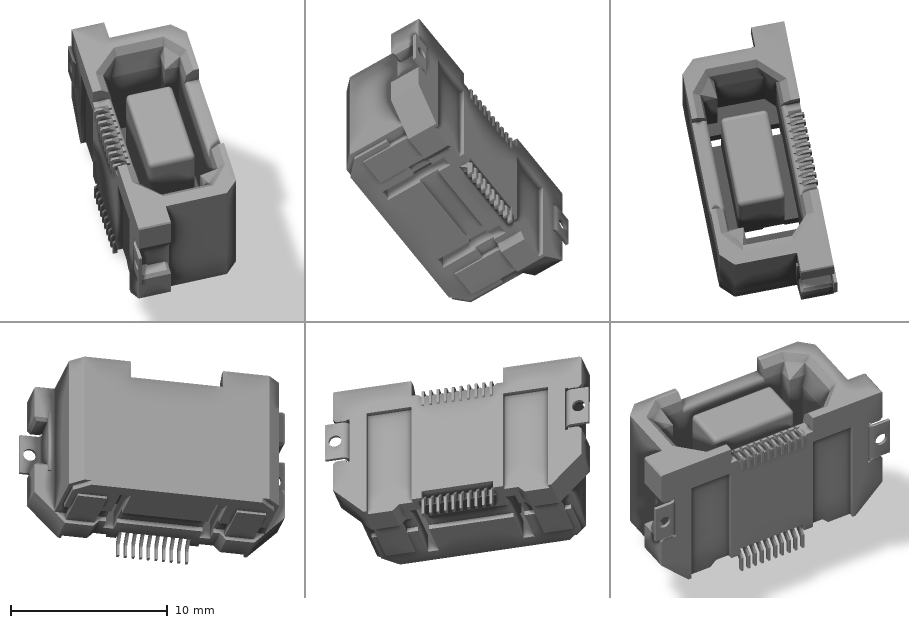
import cadquery as cq

body_half_width = 6.89
body_back = 7.03
body_height = 8.8
body_corner = 0.84
flange_half_width = 8.21
flange_thickness = 2.14
flange_height = 9.52
flange_corner = 2.02
flange_top_chamfer = 0.09
bottom_notch_depth = 0.42
bottom_notch_half_width = 3.95

relief_inner = 3.03
relief_outer = 5.99
relief_top = 1.98
relief_depth = 0.35

back_foot_half_width = 6.6
back_foot_corner = 1.0
back_foot_front = 3.57
back_foot_bottom = 9.12
side_foot_inner = 4.26
side_foot_outer = 6.18
side_foot_back = 5.62
side_foot_bottom = 9.27

rim_bevel_depth = 0.42
draft_depth = 2.05
floor_depth = 7.83
wall_notch_depth = 1.13
wall_notch_half_width = relief_inner
wall_notch_rounding = 0.28
cavity_front = 1.24
cavity_back = 6.05
key_inner_x = 4.32
key_front = 5.12
key_tip_depth = 1.13
key_rim_x = (4.6, 5.64)
key_rim_y = (6.2, 5.41)

tongue_half_width = 2.95
tongue_front = 2.12
tongue_back = 5.19
tongue_top = 0.89
tongue_rounding = 0.3
opening_inner = 2.8
opening_outer = 3.51

pin_count = 10
pin_row_span = 4.5
pin_pitch = pin_row_span / (pin_count - 1)
pin_width = 0.15
pin_standoff = 0.12
pin_edge_break = 0.07
pin_shoulder_break = 0.12
total_height = 10.4
upper_pin_top = 0.92
upper_pin_tip = 2.05
upper_pin_embed = 0.09
upper_pin_flat_end = 0.4
upper_pin_inner = 1.06
upper_pin_underside = 1.57
comb_depth = 0.87
comb_valley = 1.35
comb_peak = 1.25
comb_half_width = 2.6
tail_pocket_half_width = 2.37
tail_pocket_top = 8.6
tail_pocket_depth = 0.87
tail_thickness = 0.31
tail_bend_start = 9.35

gap_top = 2.33
gap_bottom = 5.35
gap_corner = 0.21
slot_top = 2.26
slot_bottom = 5.48
sheet = 0.21
plate_outer = 7.33
plate_inner = plate_outer - sheet
plate_step = 0.84
foot_outer = 8.7
foot_top = 2.5
foot_bottom = 5.19
bend_inner_radius = 0.25
bend_outer_radius = bend_inner_radius + sheet
foot_hole_x = 8.04
foot_hole_radius = 0.42
tab_top = 1.83
tab_bottom = 5.92
tab_overhang = 0.1


def block(x0, x1, y0, y1, depth0, depth1):
    """Box between two X, two Y and two depths below the rim."""
    return cq.Workplane("XY").box(
        x1 - x0, y1 - y0, depth1 - depth0, centered=False
    ).translate((x0, y0, -depth1))


def both_sides(shape):
    """The shape together with its mirror image across X = 0."""
    return shape.union(shape.mirror("YZ"))


def symmetric(half):
    """Closed outline from the points of its +X half."""
    return half + [(-x, y) for x, y in reversed(half)]


def front_prism(points, y0, y1):
    """Prism along Y from an X-Z outline."""
    return cq.Workplane("XZ", origin=(0, y0, 0)).polyline(points).close().extrude(y0 - y1)


def ring_loft(upper, depth0, lower, depth1):
    """Ruled solid between two horizontal outlines."""
    return (
        cq.Workplane("XY", origin=(0, 0, -depth0)).polyline(upper).close()
        .workplane(offset=depth0 - depth1).polyline(lower).close()
        .loft(ruled=True, combine=True)
    )


def plan_prism(points, depth0, depth1):
    """Vertical prism from an X-Y outline."""
    return cq.Workplane("XY", origin=(0, 0, -depth1)).polyline(points).close().extrude(depth1 - depth0)


def chamfered_back(half_width, front, corner):
    """Rectangle outline with its two back corners cut at 45 degrees."""
    return symmetric([
        (half_width, front),
        (half_width, body_back - corner),
        (half_width - corner, body_back),
    ])


def flared_gap(start, end):
    """Outline of the bracket gap, widening over its last stretch towards the end."""
    return [
        (start, -gap_top),
        (end - gap_corner, -gap_top),
        (end, gap_corner - gap_top),
        (end, -gap_bottom - gap_corner),
        (end - gap_corner, -gap_bottom),
        (start, -gap_bottom),
    ]


def make_flange():
    notch_top = -(flange_height - bottom_notch_depth)
    outline = symmetric([
        (flange_half_width - flange_top_chamfer, 0),
        (flange_half_width, -flange_top_chamfer),
        (flange_half_width, -(flange_height - flange_corner)),
        (flange_half_width - flange_corner, -flange_height),
        (bottom_notch_half_width + bottom_notch_depth, -flange_height),
        (bottom_notch_half_width, notch_top),
    ])
    flange = front_prism(outline, 0, flange_thickness)
    relief = block(relief_inner, relief_outer, 0, relief_depth, relief_top, flange_height)
    gap_across = front_prism(
        flared_gap(plate_outer, flange_half_width), 0, flange_thickness
    )
    gap_along = (
        cq.Workplane("YZ", origin=(plate_outer, 0, 0))
        .polyline(flared_gap(0, flange_thickness)).close()
        .extrude(flange_half_width - plate_outer)
    )
    gap = gap_across.union(gap_along)
    slot = block(plate_inner, plate_outer, 0, flange_thickness, slot_top, slot_bottom)
    return flange.cut(both_sides(relief)).cut(both_sides(gap)).cut(both_sides(slot))


def make_body():
    body = plan_prism(chamfered_back(body_half_width, relief_depth, body_corner), 0, body_height)
    back_foot = plan_prism(
        chamfered_back(back_foot_half_width, back_foot_front, back_foot_corner),
        body_height, back_foot_bottom,
    )
    side_foot = block(
        side_foot_inner, side_foot_outer, flange_thickness, side_foot_back, body_height, side_foot_bottom
    )
    return body.union(back_foot).union(both_sides(side_foot))


def make_cavity():
    rim = symmetric([(4.47, 0.57), (6.07, 2.23), (6.07, 5.52), (4.7, 6.66)])
    bevel_end = symmetric([
        (4.42, 1.05), (5.64, 2.23), (key_rim_x[1], key_rim_y[1]), (key_rim_x[0], key_rim_y[0])
    ])
    draft_start = symmetric([(4.42, 1.05), (5.64, 2.23), (5.64, key_rim_y[0])])
    draft_middle = symmetric([(4.63, cavity_front), (5.48, 2.07), (5.48, cavity_back)])
    draft_end = symmetric([(4.63, cavity_front), (5.27, 1.86), (5.27, cavity_back)])
    bevel = ring_loft(rim, 0, bevel_end, rim_bevel_depth)
    upper_draft = ring_loft(draft_start, rim_bevel_depth, draft_middle, key_tip_depth)
    lower_draft = ring_loft(draft_middle, key_tip_depth, draft_end, draft_depth)
    well = plan_prism(draft_end, draft_depth, floor_depth)
    return upper_draft.union(lower_draft).union(well).cut(make_keys()).union(bevel)


def space_above(origin, first, second):
    """Large solid lying on the upper side of the plane through three points."""
    along = first - origin
    normal = along.cross(second - origin)
    if normal.z < 0:
        normal = normal * -1
    plane = cq.Plane(origin=origin, xDir=along, normal=normal)
    return cq.Workplane(plane).rect(2 * body_back, 2 * body_back).extrude(body_back)


def make_keys():
    """Columns in the two back corners, each topped by three facets meeting at its inner edge."""
    column = block(
        key_inner_x, body_half_width, key_front, body_back, rim_bevel_depth, floor_depth
    )
    rim_back = cq.Vector(key_rim_x[0], key_rim_y[0], -rim_bevel_depth)
    rim_side = cq.Vector(key_rim_x[1], key_rim_y[1], -rim_bevel_depth)
    tip = cq.Vector(key_inner_x, key_front, -key_tip_depth)
    column = column.cut(space_above(tip, rim_back, rim_side))
    column = column.cut(space_above(tip, rim_side, tip + cq.Vector(0.17, 0, 0)))
    column = column.cut(space_above(tip, rim_back, tip + cq.Vector(0, 0.17, 0)))
    return both_sides(column)


def make_wall_notches():
    """Lowered middle of the front and back walls, with rounded inner edges."""
    notch = block(
        -wall_notch_half_width, wall_notch_half_width, 0, body_back, 0, wall_notch_depth
    )
    rounding = (
        cq.Workplane("YZ", origin=(-wall_notch_half_width, 0, 0))
        .moveTo(cavity_front - wall_notch_rounding, -wall_notch_depth)
        .radiusArc((cavity_front, -wall_notch_depth - wall_notch_rounding), wall_notch_rounding)
        .lineTo(cavity_back, -wall_notch_depth - wall_notch_rounding)
        .radiusArc((cavity_back + wall_notch_rounding, -wall_notch_depth), wall_notch_rounding)
        .close().extrude(2 * wall_notch_half_width)
    )
    return notch.union(rounding)


def make_tongue():
    return (
        block(-tongue_half_width, tongue_half_width, tongue_front, tongue_back, tongue_top, floor_depth)
        .edges("|Z or >Z").fillet(tongue_rounding)
    )


def pin_positions():
    return [i * pin_pitch - pin_row_span / 2 for i in range(pin_count)]


def make_comb():
    """Sawtooth trough in the front wall: a ridge between contacts, a slot along each contact."""
    outline = [(-comb_half_width, -wall_notch_depth)]
    for x in pin_positions():
        outline.append((x - pin_width / 2, -comb_valley))
        outline.append((x + pin_width / 2, -comb_valley))
        outline.append((x + pin_pitch / 2, -comb_peak))
    outline[-1] = (comb_half_width, -wall_notch_depth)
    comb = front_prism(outline, 0, comb_depth)
    for x in pin_positions():
        comb = comb.union(block(
            x - pin_width / 2, x + pin_width / 2, 0, upper_pin_inner, wall_notch_depth, comb_valley
        ))
    return comb


def make_pins():
    upper = [
        (upper_pin_inner, -comb_valley),
        (upper_pin_flat_end + comb_valley - upper_pin_top, -comb_valley),
        (upper_pin_flat_end, -upper_pin_top),
        (pin_shoulder_break - pin_standoff, -upper_pin_top),
        (-pin_standoff, -upper_pin_top - pin_shoulder_break),
        (-pin_standoff, -upper_pin_tip + pin_edge_break),
        (pin_edge_break - pin_standoff, -upper_pin_tip),
        (upper_pin_embed, -upper_pin_tip),
        (upper_pin_embed, -upper_pin_underside),
        (upper_pin_inner, -upper_pin_underside),
    ]
    bend_run = tail_bend_start - tail_pocket_top
    slope_end = bend_run - pin_standoff
    embedded_end = slope_end + tail_thickness
    lower = [
        (-pin_standoff, -total_height),
        (-pin_standoff, -tail_bend_start),
        (slope_end, -tail_pocket_top),
        (embedded_end, -tail_pocket_top),
        (embedded_end, -tail_pocket_top - tail_thickness),
        (tail_thickness - pin_standoff, -tail_bend_start - tail_thickness),
        (tail_thickness - pin_standoff, -total_height),
    ]
    pins = cq.Workplane("XY")
    for x in pin_positions():
        for outline in (upper, lower):
            plane = cq.Workplane("YZ", origin=(x - pin_width / 2, 0, 0))
            pins = pins.add(plane.polyline(outline).close().extrude(pin_width))
    return pins.combine()


def make_bracket():
    """Bent sheet: a plate in the flange slot, a drilled foot on the board side and a back tab."""
    profile = (
        cq.Workplane("XY", origin=(0, 0, -foot_bottom))
        .moveTo(foot_outer, -pin_standoff)
        .lineTo(plate_inner + bend_outer_radius, -pin_standoff)
        .radiusArc((plate_inner, bend_outer_radius - pin_standoff), bend_outer_radius)
        .lineTo(plate_inner, plate_step)
        .lineTo(plate_outer, plate_step)
        .lineTo(plate_outer, bend_outer_radius - pin_standoff)
        .radiusArc((plate_outer + bend_inner_radius, sheet - pin_standoff), -bend_inner_radius)
        .lineTo(foot_outer, sheet - pin_standoff)
        .close().extrude(foot_bottom - foot_top)
    )
    hole = (
        cq.Workplane("XZ", origin=(foot_hole_x, plate_step, -(foot_top + foot_bottom) / 2))
        .circle(foot_hole_radius).extrude(plate_step + bend_outer_radius)
    )
    plate = block(plate_inner, plate_outer, plate_step, flange_thickness, slot_top, slot_bottom)
    tab = block(
        plate_inner, plate_outer, flange_thickness, flange_thickness + tab_overhang, tab_top, tab_bottom
    )
    return profile.cut(hole).union(plate).union(tab)


housing = make_flange().union(make_body())
housing = housing.cut(make_cavity()).cut(make_wall_notches()).cut(make_comb())
housing = housing.union(make_tongue())
openings = block(opening_inner, opening_outer, cavity_front, cavity_back, floor_depth, flange_height)
tail_pocket = block(
    -tail_pocket_half_width, tail_pocket_half_width, 0, tail_pocket_depth, tail_pocket_top, flange_height
)
housing = housing.cut(both_sides(openings)).cut(tail_pocket)
result = housing.union(make_pins()).union(both_sides(make_bracket()))